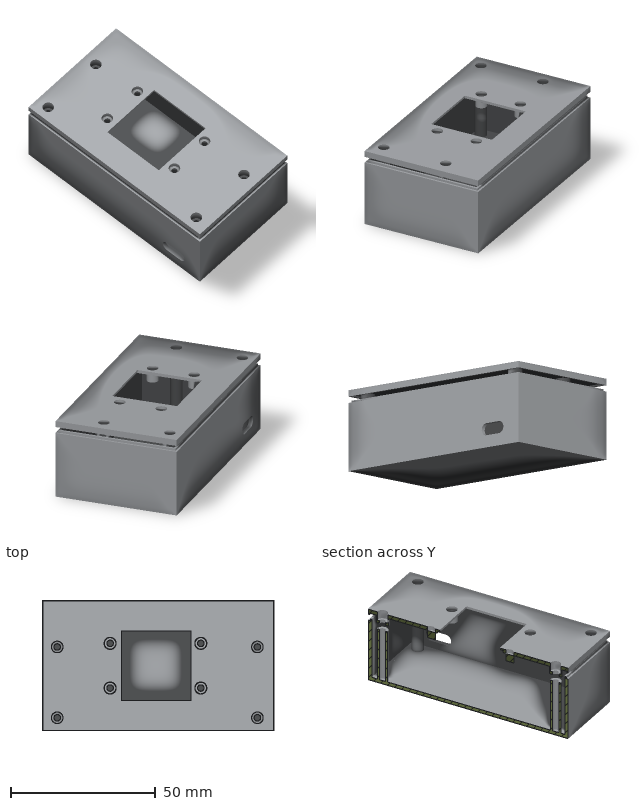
import cadquery as cq

LENGTH = 80.0
WIDTH = 45.0
RIM_INSET = 0.7

CASE_HEIGHT = 24.0
RIM_HEIGHT = 0.8
WALL = 1.5
FLOOR = 1.5

GASKET_BOTTOM = 26.2
GASKET_THICKNESS = 0.6
COVER_BOTTOM = GASKET_BOTTOM + GASKET_THICKNESS
COVER_THICKNESS = 1.6
COVER_TOP = COVER_BOTTOM + COVER_THICKNESS

SCREW_DIAMETER = 2.2
CORNER_SPACING_X = 69.2
CORNER_SPACING_Y = 24.5
CORNER_CENTRE = (-0.3, -5.8)
CORNER_POST_DIAMETER = 5.0
CASE_POST_DIAMETER = 4.3
CORNER_HEAD_DIAMETER = 4.0

INNER_SPACING_X = 31.4
INNER_SPACING_Y = 15.4
INNER_CENTRE = (-1.0, 0.0)
INNER_POST_DIAMETER = 4.2
INNER_HEAD_DIAMETER = 4.0
INNER_HEAD_DEPTH = 1.5

POST_BOTTOM = 23.9
CORNER_LEDGE = 1.3
CORNER_HEAD_DEPTH = COVER_TOP - POST_BOTTOM - CORNER_LEDGE
CLOSING_TRAVEL = GASKET_BOTTOM - CASE_HEIGHT
CASE_POST_TOP = POST_BOTTOM - CLOSING_TRAVEL

WINDOW_SIDE = 24.0
RECESS_SIDE = 26.0
RECESS_DEPTH = 0.8
WINDOW_CENTRE = (-0.7, 0.0)

SLOT_LENGTH = 10.2
SLOT_HEIGHT = 4.2
SLOT_X = 27.8
SLOT_Z = 6.4


def block(inset, bottom, top):
    """Box with the shared outline moved inward by inset, between two heights."""
    return (
        cq.Workplane("XY", origin=(0, 0, bottom))
        .rect(LENGTH - 2 * inset, WIDTH - 2 * inset)
        .extrude(top - bottom)
    )


def cylinders(centre, spacing_x, spacing_y, diameter, bottom, top):
    """Four upright cylinders at the corners of a rectangle."""
    return (
        cq.Workplane("XY", origin=(*centre, bottom))
        .rect(spacing_x, spacing_y, forConstruction=True)
        .vertices()
        .circle(diameter / 2)
        .extrude(top - bottom)
    )


def corner_cylinders(diameter, bottom, top):
    return cylinders(CORNER_CENTRE, CORNER_SPACING_X, CORNER_SPACING_Y, diameter, bottom, top)


def inner_cylinders(diameter, bottom, top):
    return cylinders(INNER_CENTRE, INNER_SPACING_X, INNER_SPACING_Y, diameter, bottom, top)


def square_prism(side, bottom, top):
    """Upright square prism on the window axis."""
    return cq.Workplane("XY", origin=(*WINDOW_CENTRE, bottom)).rect(side, side).extrude(top - bottom)


def make_case():
    rim_top = CASE_HEIGHT + RIM_HEIGHT
    case = block(0, 0, CASE_HEIGHT).union(block(RIM_INSET, CASE_HEIGHT, rim_top))
    case = case.cut(block(WALL, FLOOR, rim_top))

    case = case.union(corner_cylinders(CASE_POST_DIAMETER, FLOOR, CASE_POST_TOP))
    case = case.cut(corner_cylinders(SCREW_DIAMETER, FLOOR, CASE_POST_TOP))

    slot = (
        cq.Workplane("XZ", origin=(SLOT_X, -WIDTH / 2, SLOT_Z))
        .slot2D(SLOT_LENGTH, SLOT_HEIGHT)
        .extrude(-WALL)
    )
    return case.cut(slot)


def make_gasket():
    frame = block(0, GASKET_BOTTOM, COVER_BOTTOM)
    return frame.cut(block(RIM_INSET, GASKET_BOTTOM, COVER_BOTTOM))


def make_cover():
    cover = block(0, COVER_BOTTOM, COVER_TOP)
    cover = cover.cut(square_prism(WINDOW_SIDE, COVER_BOTTOM, COVER_TOP))
    cover = cover.cut(square_prism(RECESS_SIDE, COVER_BOTTOM, COVER_BOTTOM + RECESS_DEPTH))

    cover = cover.union(corner_cylinders(CORNER_POST_DIAMETER, POST_BOTTOM, COVER_TOP))
    cover = cover.union(inner_cylinders(INNER_POST_DIAMETER, POST_BOTTOM, COVER_TOP))

    for post_cylinders, head_diameter, head_depth in (
        (corner_cylinders, CORNER_HEAD_DIAMETER, CORNER_HEAD_DEPTH),
        (inner_cylinders, INNER_HEAD_DIAMETER, INNER_HEAD_DEPTH),
    ):
        cover = cover.cut(post_cylinders(head_diameter, COVER_TOP - head_depth, COVER_TOP))
        cover = cover.cut(post_cylinders(SCREW_DIAMETER, POST_BOTTOM, COVER_TOP))
    return cover


case = make_case()
gasket = make_gasket()
cover = make_cover()

result = cq.Compound.makeCompound([case.val(), gasket.val(), cover.val()])